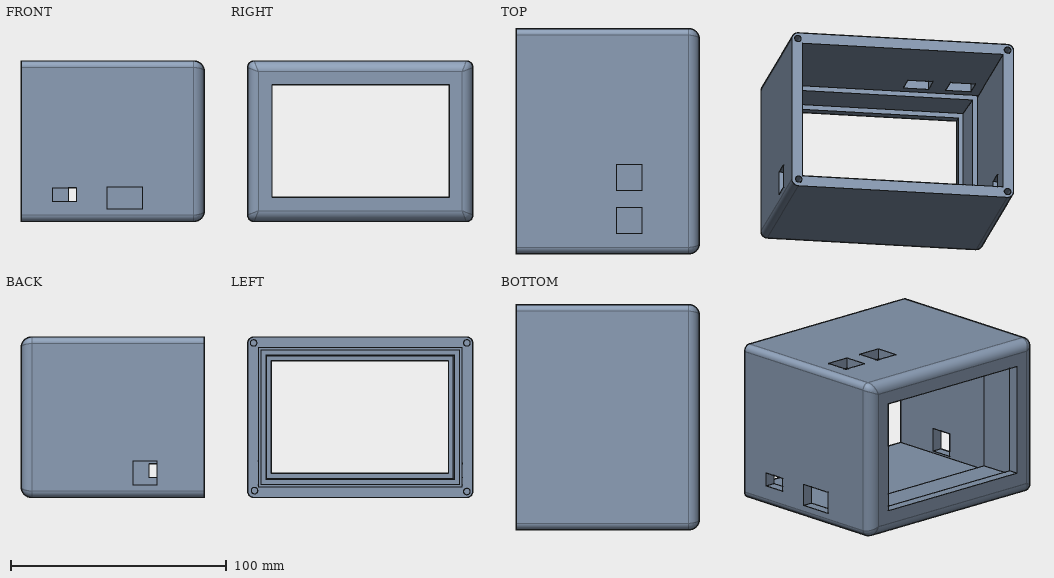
import cadquery as cq

depth = 85.0
width = 104.4
height = 74.5

face_fillet = 5.0
corner_fillet = 3.0

wall = 5.0
cavity_end = depth - wall
frame_start = 59.9
frame_outer_inset = 6.2
frame_inner_inset = 8.5

frame_taper = 0.3
frame_taper_low_y = 0.8

window_y = 11.4
window_z = 11.4
window_width = 82.0
window_height = 52.0

screw_diameter = 3.0
screw_depth = 10.4
screw_inset = 2.8
wide_screw_inset = 3.2
screw_centers = [
    (screw_inset, screw_inset),
    (screw_inset, height - screw_inset),
    (width - screw_inset, height - screw_inset),
    (width - wide_screw_inset, wide_screw_inset),
]

top_opening = 11.9
top_opening_x = 46.5
top_opening_y = 9.5
top_opening_pitch = 19.9

small_port = (14.6, 9.4, 11.1, 6.3)
large_port = (39.9, 5.8, 16.3, 10.2)
far_port = (22.0, 6.0, 11.1, 11.0)


def box_at(x, y, z, size_x, size_y, size_z):
    """Axis-aligned box given by its lowest corner and its sizes."""
    return cq.Workplane("XY").box(size_x, size_y, size_z, centered=False).translate((x, y, z))


def inset_block(inset, start, end):
    """Block along X whose section is the outer section shrunk by the inset."""
    return box_at(start, inset, inset, end - start, width - 2 * inset, height - 2 * inset)


def outer_body():
    """Solid block, rounded around the closed face and then along the four long edges."""
    body = box_at(0, 0, 0, depth, width, height)
    body = body.faces(">X").edges().fillet(face_fillet)
    return body.edges("|X").fillet(corner_fillet)


def frame_opening():
    """Tapered space inside the frame."""
    start_width = width - 2 * frame_inner_inset
    start_height = height - 2 * frame_inner_inset
    end_width = start_width - frame_taper - frame_taper_low_y
    end_height = start_height - 2 * frame_taper
    end_shift = (frame_taper_low_y - frame_taper) / 2
    return (
        cq.Workplane("YZ", origin=(frame_start, width / 2, height / 2))
        .rect(start_width, start_height)
        .workplane(offset=cavity_end - frame_start)
        .center(end_shift, 0)
        .rect(end_width, end_height)
        .loft(ruled=True)
    )


def screw_holes():
    """One blind hole in each corner of the rim."""
    return cq.Workplane("YZ").pushPoints(screw_centers).circle(screw_diameter / 2).extrude(screw_depth)


def side_port(port, wall_y):
    """Opening through the side wall that starts at wall_y."""
    x, z, size_x, size_z = port
    return box_at(x, wall_y, z, size_x, wall, size_z)


result = outer_body()
result = result.cut(inset_block(wall, 0, cavity_end))
result = result.union(inset_block(frame_outer_inset, frame_start, cavity_end))
result = result.cut(frame_opening())
result = result.cut(box_at(cavity_end, window_y, window_z, wall, window_width, window_height))
result = result.cut(screw_holes())

for index in range(2):
    opening_y = top_opening_y + index * top_opening_pitch
    result = result.cut(
        box_at(top_opening_x, opening_y, height - wall, top_opening, top_opening, wall)
    )

result = result.cut(side_port(small_port, 0))
result = result.cut(side_port(large_port, 0))
result = result.cut(side_port(far_port, width - wall))